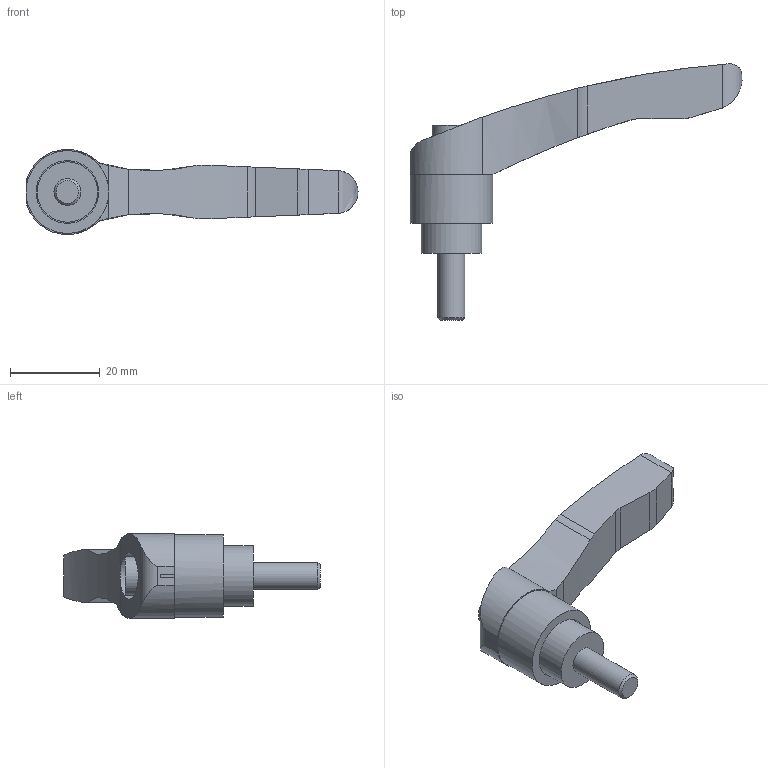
import cadquery as cq
import math


STUD_DIAMETER = 6.0
STUD_LENGTH = 15.0
STUD_TIP_CHAMFER = 0.5
COLLAR_DIAMETER = 13.5
LOWER_HUB_DIAMETER = 18.5
LOWER_HUB_BOTTOM = 6.65
COLLAR_RECESS_DIAMETER = 14.0
COLLAR_RECESS_DEPTH = 1.0

UPPER_HUB_DIAMETER = 19.0
UPPER_HUB_BOTTOM = 17.55
HUB_FLAT_X = -LOWER_HUB_DIAMETER / 2
HUB_TOP_FILLET = 4.0
SCREW_HEAD_DIAMETER = 8.6
SCREW_HEAD_TOP = 28.55
SCREW_BORE_DIAMETER = 10.3
SCREW_BORE_FLOOR = 20.0
MARK_WIDTH = 0.75
MARK_TOP = 20.7
MARK_DEPTH = 0.1

TOP_LINE_START = (HUB_FLAT_X, 24.05)
TOP_ARC_START = (5.0, 29.65)
TOP_ARC_MIDDLE = (28.3, 36.83)
TIP_TOP_START = (61.0, 42.17)
TIP_TOP_PEAK = (62.5, 42.23)
TIP_UPPER_NOSE = (64.3, 41.35)
TIP_END = (64.9, 39.5)
TIP_LOWER_NOSE = (63.9, 35.4)
TIP_LOWER_START = (60.5, 32.4)
FINGER_FLAT_START = (41.1, 30.0)
FINGER_FLAT_END = (52.6, 30.0)
FINGER_START_FILLET = 7.0
FINGER_END_FILLET = 8.5
LOWER_ARC_MIDDLE = (28.3, 25.8)
LOWER_ARC_START = (13.7, 19.65)

NECK_START_X = 6.9
NECK_MIDDLE = (18.5, 4.77)
SHOULDER = (29.25, 6.07)
SHOULDER_FILLET = 8.0
TIP_HALF_WIDTH = 4.78
PLAN_MARGIN = 5.0


def cylinder(diameter, bottom, top):
    """Round body on the stud axis between two Y levels."""
    return cq.Workplane("XZ", origin=(0, bottom, 0)).circle(diameter / 2).extrude(bottom - top)


def stud():
    body = cylinder(STUD_DIAMETER, -STUD_LENGTH, LOWER_HUB_BOTTOM)
    return body.faces("<Y").chamfer(STUD_TIP_CHAMFER)


def lower_hub():
    hub = cylinder(LOWER_HUB_DIAMETER, LOWER_HUB_BOTTOM, UPPER_HUB_BOTTOM)
    recess = cylinder(COLLAR_RECESS_DIAMETER, LOWER_HUB_BOTTOM, LOWER_HUB_BOTTOM + COLLAR_RECESS_DEPTH)
    collar = cylinder(COLLAR_DIAMETER, 0, UPPER_HUB_BOTTOM)
    return hub.cut(recess).union(collar)


def side_body():
    """Side outline of upper hub and grip, extruded across the full hub width."""
    profile = (
        cq.Workplane("XY", origin=(0, 0, -UPPER_HUB_DIAMETER / 2))
        .moveTo(HUB_FLAT_X, UPPER_HUB_BOTTOM)
        .lineTo(*TOP_LINE_START)
        .lineTo(*TOP_ARC_START)
        .threePointArc(TOP_ARC_MIDDLE, TIP_TOP_START)
        .spline([TIP_TOP_PEAK, TIP_UPPER_NOSE, TIP_END, TIP_LOWER_NOSE, TIP_LOWER_START], includeCurrent=True)
        .lineTo(*FINGER_FLAT_END)
        .lineTo(*FINGER_FLAT_START)
        .threePointArc(LOWER_ARC_MIDDLE, LOWER_ARC_START)
        .lineTo(-HUB_FLAT_X, UPPER_HUB_BOTTOM)
        .close()
    )
    body = profile.extrude(UPPER_HUB_DIAMETER)
    body = edge_at(body, TOP_LINE_START).fillet(HUB_TOP_FILLET)
    body = edge_at(body, FINGER_FLAT_START).fillet(FINGER_START_FILLET)
    return edge_at(body, FINGER_FLAT_END).fillet(FINGER_END_FILLET)


def edge_at(body, point):
    """Select the Z-parallel edge through an (x, y) corner."""
    return body.edges("|Z").edges(cq.selectors.NearestToPointSelector((*point, 0)))


def plan_body():
    """Plan outline of the grip and hub, extruded along the stud axis."""
    neck_half_width = math.sqrt((UPPER_HUB_DIAMETER / 2) ** 2 - NECK_START_X**2)
    tip_start = (TIP_LOWER_START[0], TIP_HALF_WIDTH)
    tip_point = (TIP_END[0], 0)
    height = TIP_TOP_PEAK[1] + PLAN_MARGIN

    grip = (
        cq.Workplane("XZ")
        .moveTo(0, neck_half_width)
        .lineTo(NECK_START_X, neck_half_width)
        .threePointArc(NECK_MIDDLE, SHOULDER)
        .lineTo(*tip_start)
        .threePointArc(tip_point, (tip_start[0], -tip_start[1]))
        .lineTo(SHOULDER[0], -SHOULDER[1])
        .threePointArc((NECK_MIDDLE[0], -NECK_MIDDLE[1]), (NECK_START_X, -neck_half_width))
        .lineTo(0, -neck_half_width)
        .close()
        .extrude(-height)
    )
    for side in (1, -1):
        corner = (SHOULDER[0], height / 2, side * SHOULDER[1])
        grip = grip.edges("|Y").edges(cq.selectors.NearestToPointSelector(corner)).fillet(SHOULDER_FILLET)
    return grip.union(cylinder(UPPER_HUB_DIAMETER, 0, height))


def index_mark():
    """Shallow groove in the hub flat, open at the bottom of the upper hub."""
    return (
        cq.Workplane("XY", origin=(HUB_FLAT_X, UPPER_HUB_BOTTOM, 0))
        .box(MARK_DEPTH, MARK_TOP - UPPER_HUB_BOTTOM, MARK_WIDTH, centered=(False, False, True))
    )


def lever():
    """Upper hub with its grip, the bored top, the sunk screw head and the index mark."""
    body = side_body().intersect(plan_body())
    bore = cylinder(SCREW_BORE_DIAMETER, SCREW_BORE_FLOOR, TIP_TOP_PEAK[1])
    screw_head = cylinder(SCREW_HEAD_DIAMETER, SCREW_BORE_FLOOR, SCREW_HEAD_TOP)
    return body.cut(bore).union(screw_head).cut(index_mark())


result = lever().union(lower_hub()).union(stud())